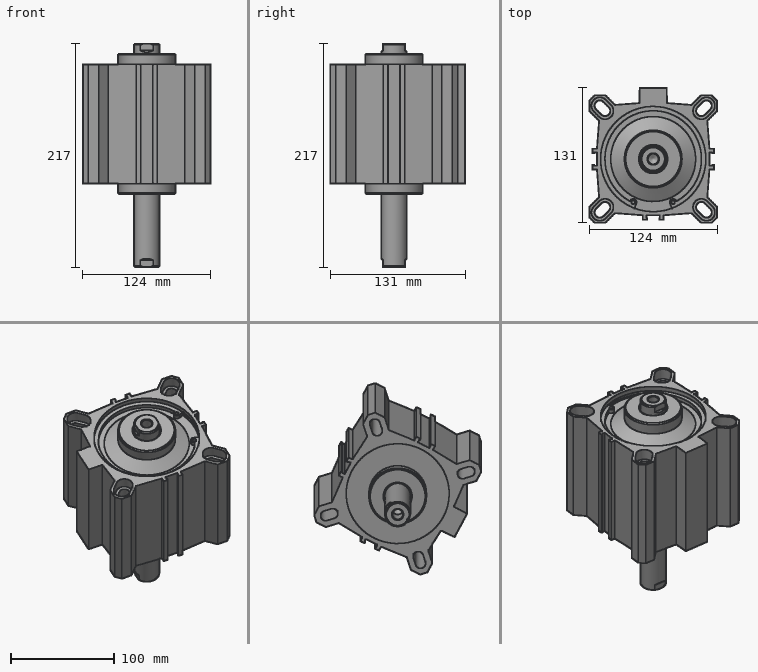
import cadquery as cq
import math


housing_height = 115.7
collar_height = 10.5
rod_length = 217.0
rod_top_protrusion = 9.8

housing_width = 124.0
ear_reach = housing_width / 2
ear_corner_chamfer = 5.2
ear_side = 46.5
side_corner = 37.0
side_corner_reach = ear_reach - (ear_side - side_corner)
side_reach = 54.7
crown_half_width = 10.2

housing_depth = 131.0
block_reach = housing_depth - ear_reach
block_base_width = 27.1
block_tip_width = 26.5

rail_reach = 59.0
rail_outer = crown_half_width
rail_inner = 6.3
rail_lip = 0.7
rail_lip_depth = 1.7

slot_position = 49.3
slot_center_distance = 7.2
slot_width = 10.0
slot_recess_width = 16.3
slot_recess_depth = 11.3

cylinder_bore = 100.0
cover_bore = 102.2
groove_diameter = 106.1

ring_depth = 4.8
ring_thickness = 4.1
ring_inner_diameter = 93.7
lug_radius = 3.3
lug_circle_radius = 46.2
lug_hole_diameter = 3.5
lug_angle = 24.8

collar_diameter = 56.0
collar_chamfer = 1.3
cone_depth = 1.5
cone_base_diameter = 82.5
cover_flange_thickness = 19.5
mouth_diameter = 27.0
mouth_chamfer = 0.55
mouth_depth = 2.2

rod_diameter = 25.0
rod_chamfer = 1.3
flat_half_distance = 10.8
flat_length = 6.7
tapped_hole_diameter = 10.2
tapped_hole_depth = 19.5
tapped_hole_chamfer = 0.7
drill_point_angle = 118.0

cover_shoulder = housing_height - ring_depth - ring_thickness
cover_seat = cover_shoulder - cover_flange_thickness
rod_top = housing_height + collar_height + rod_top_protrusion
rod_bottom = rod_top - rod_length


def cylinder(diameter, bottom, top):
    return cq.Workplane("XY").workplane(offset=bottom).circle(diameter / 2).extrude(top - bottom)


def revolve_profile(points):
    """Turn a closed (radius, z) outline about the Z axis."""
    return cq.Workplane("XZ").polyline(points).close().revolve(360, (0, 0, 0), (0, 1, 0))


def housing_block():
    quarter = [
        (side_reach, crown_half_width),
        (side_corner_reach, side_corner),
        (ear_reach, ear_side),
        (ear_reach, ear_reach - ear_corner_chamfer),
        (ear_reach - ear_corner_chamfer, ear_reach),
        (ear_side, ear_reach),
        (side_corner, side_corner_reach),
        (crown_half_width, side_reach),
    ]
    outline = []
    for _ in range(4):
        outline += quarter
        quarter = [(-y, x) for x, y in quarter]
    return cq.Workplane("XY").polyline(outline).close().extrude(housing_height)


def port_block():
    base = block_base_width / 2
    tip = block_tip_width / 2
    root = side_corner_reach
    outline = [(-base, root), (base, root), (tip, block_reach), (-tip, block_reach)]
    return cq.Workplane("XY").polyline(outline).close().extrude(housing_height)


def rail_pair(angle):
    """Two hooked rails on the -Y side, turned by the angle about Z."""
    lip_edge = rail_inner - rail_lip
    outline = [
        (rail_outer, -side_reach),
        (rail_outer, -rail_reach),
        (lip_edge, -rail_reach),
        (lip_edge, -rail_reach + rail_lip_depth),
        (rail_inner, -rail_reach + rail_lip_depth),
        (rail_inner, -side_reach),
    ]
    rail = cq.Workplane("XY").polyline(outline).close().extrude(housing_height)
    return rail.union(rail.mirror("YZ")).rotate((0, 0, 0), (0, 0, 1), angle)


def mounting_slot(angle):
    """Recessed through slot, lying radially at the angle."""
    radius = slot_position * math.sqrt(2)
    through = (
        cq.Workplane("XY").center(radius, 0)
        .slot2D(slot_center_distance + slot_width, slot_width).extrude(housing_height)
    )
    recess = (
        cq.Workplane("XY").workplane(offset=housing_height - slot_recess_depth).center(radius, 0)
        .slot2D(slot_center_distance + slot_recess_width, slot_recess_width)
        .extrude(slot_recess_depth)
    )
    return through.union(recess).rotate((0, 0, 0), (0, 0, 1), angle)


def make_housing():
    body = housing_block().union(port_block())
    for angle in (-90, 0, 90):
        body = body.union(rail_pair(angle))
    for angle in (45, 135, 225, 315):
        body = body.cut(mounting_slot(angle))
    body = body.cut(cylinder(cylinder_bore, 0, housing_height))
    body = body.cut(cylinder(cover_bore, cover_seat, housing_height))
    return body.cut(cylinder(groove_diameter, cover_shoulder, cover_shoulder + ring_thickness))


def rod_passage(mouth_level):
    """Rod hole with a wider chamfered mouth at its upper end."""
    hole = cylinder(rod_diameter, 0, mouth_level)
    mouth = cylinder(mouth_diameter, mouth_level - mouth_depth, mouth_level)
    flare = revolve_profile([
        (0, mouth_level),
        (mouth_diameter / 2 + mouth_chamfer, mouth_level),
        (mouth_diameter / 2, mouth_level - mouth_chamfer),
        (0, mouth_level - mouth_chamfer),
    ])
    return hole.union(mouth).union(flare)


def make_top_cover():
    collar_top = housing_height + collar_height
    profile = [
        (0, cover_seat),
        (cover_bore / 2, cover_seat),
        (cover_bore / 2, cover_shoulder),
        (cone_base_diameter / 2, cover_shoulder),
        (collar_diameter / 2, housing_height - cone_depth),
        (collar_diameter / 2, collar_top - collar_chamfer),
        (collar_diameter / 2 - collar_chamfer, collar_top),
        (0, collar_top),
    ]
    return revolve_profile(profile).cut(rod_passage(collar_top))


def make_bottom_cover():
    """Flange flush with the bottom of the housing, collar pointing down."""
    profile = [
        (0, cover_flange_thickness),
        (cylinder_bore / 2, cover_flange_thickness),
        (cylinder_bore / 2, 0),
        (collar_diameter / 2, 0),
        (collar_diameter / 2, collar_chamfer - collar_height),
        (collar_diameter / 2 - collar_chamfer, -collar_height),
        (0, -collar_height),
    ]
    passage = rod_passage(collar_height + cover_flange_thickness)
    passage = passage.mirror("XY").translate((0, 0, cover_flange_thickness))
    return revolve_profile(profile).cut(passage)


def make_snap_ring():
    ring_top = cover_shoulder + ring_thickness
    ring = cylinder(groove_diameter, cover_shoulder, ring_top)
    ring = ring.cut(cylinder(ring_inner_diameter, cover_shoulder, ring_top))

    half_gap = math.radians(lug_angle) - math.asin(lug_radius / lug_circle_radius)
    gap_reach = groove_diameter
    gap_side = gap_reach * math.tan(half_gap)
    opening = (
        cq.Workplane("XY").workplane(offset=cover_shoulder)
        .polyline([(0, 0), (-gap_side, -gap_reach), (gap_side, -gap_reach)]).close()
        .extrude(ring_thickness)
    )
    ring = ring.cut(opening)

    lug_x = lug_circle_radius * math.sin(math.radians(lug_angle))
    lug_y = -lug_circle_radius * math.cos(math.radians(lug_angle))
    for x in (-lug_x, lug_x):
        ring = ring.union(cylinder(2 * lug_radius, cover_shoulder, ring_top).translate((x, lug_y, 0)))
        ring = ring.cut(cylinder(lug_hole_diameter, cover_shoulder, ring_top).translate((x, lug_y, 0)))
    return ring


def wrench_flat(end_level):
    """Cutter for the +Y wrench flat at the upper rod end, with a 45 degree run-out."""
    radius = rod_diameter / 2
    step = radius - flat_half_distance
    flat_end = end_level - flat_length
    outline = [
        (flat_half_distance, end_level),
        (flat_half_distance, flat_end),
        (radius, flat_end - step),
        (radius, end_level),
    ]
    return cq.Workplane("YZ").polyline(outline).close().extrude(radius, both=True)


def tapped_hole(end_level):
    """Blind hole with a chamfered mouth and a drill point."""
    radius = tapped_hole_diameter / 2
    floor = end_level - tapped_hole_depth
    point_length = radius / math.tan(math.radians(drill_point_angle / 2))
    return revolve_profile([
        (0, end_level),
        (radius + tapped_hole_chamfer, end_level),
        (radius, end_level - tapped_hole_chamfer),
        (radius, floor),
        (0, floor - point_length),
    ])


def make_rod():
    """Rod centred on Z = 0 with identical ends, then moved into place."""
    end_level = rod_length / 2
    rod = cylinder(rod_diameter, -end_level, end_level).faces("|Z").chamfer(rod_chamfer)
    flat = wrench_flat(end_level)
    end_cuts = flat.union(flat.mirror("XZ")).union(tapped_hole(end_level))
    rod = rod.cut(end_cuts).cut(end_cuts.mirror("XY"))
    return rod.translate((0, 0, (rod_top + rod_bottom) / 2))


housing = make_housing()
top_cover = make_top_cover()
bottom_cover = make_bottom_cover()
snap_ring = make_snap_ring()
rod = make_rod()

result = cq.Compound.makeCompound([
    housing.val(),
    top_cover.val(),
    bottom_cover.val(),
    snap_ring.val(),
    rod.val(),
])